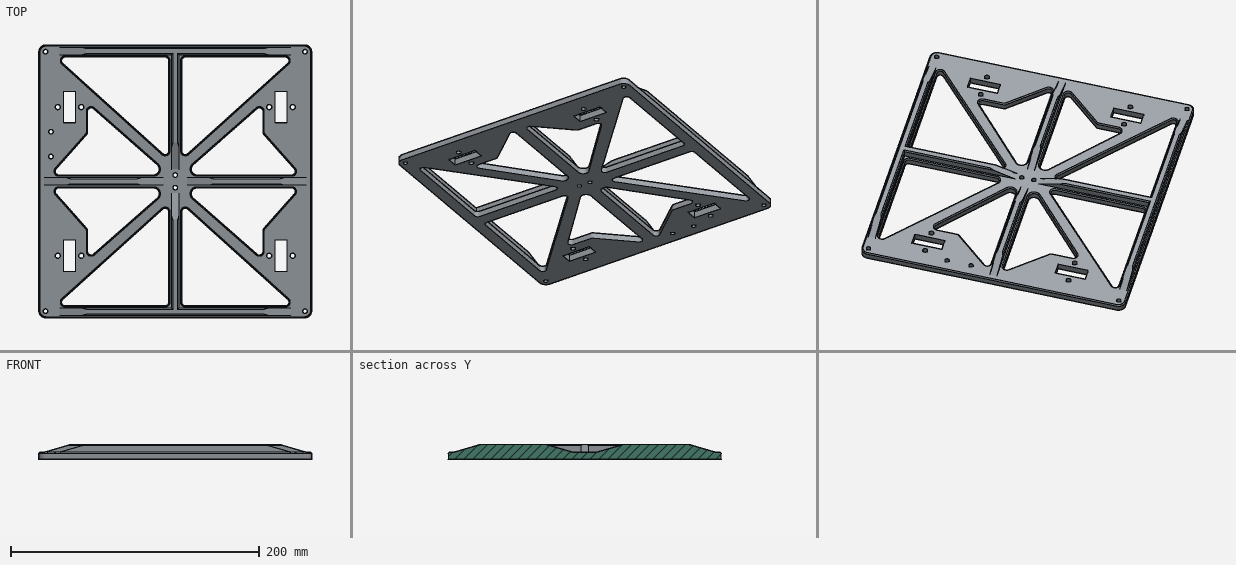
import cadquery as cq

side = 220.0
total_height = 12.0
plate_thickness = 6.0
corner_radius = 6.0
edge_chamfer = 1.0

rib_width = 6.0
ramp_length = 21.3
edge_rib_offset = 105.0
edge_rib_end = 92.8
spoke_inner_end = 9.7
side_spoke_outer_end = 105.4

window_margin = 5.3
outer_window_top = 100.0
outer_window_far_x = 96.1
outer_window_near_y = 18.0
window_radius = 2.9
inner_window_side_x = 70.6
inner_window_peak_y = 62.7
inner_window_knee_y = 38.5
inner_window_tip_x = 100.0
inner_window_near_radius = 4.6

slot_width = 9.5
slot_length = 25.0
slot_x = 85.1
slot_y = 59.8
slot_hole_spacing = 19.0
slot_hole_diameter = 4.0

small_hole_diameter = 3.5
corner_hole_offset = 104.5
center_hole_y = 5.0
cable_hole_x = -100.0
cable_hole_ys = (40.0, 20.0)

quadrants = [(sx, sy) for sx in (1, -1) for sy in (1, -1)]


def mirrored(points, signs):
    """Move outline points from the positive quadrant into another quadrant."""
    return [(signs[0] * x, signs[1] * y) for x, y in points]


def window(points, signs, first_radius):
    """Through-cutter for one window; the first corner has its own rounding radius."""
    corners = mirrored(points, signs)
    cutter = cq.Workplane("XY").polyline(corners).close().extrude(plate_thickness)
    for index, (x, y) in enumerate(corners):
        radius = first_radius if index == 0 else window_radius
        corner_edge = cq.selectors.NearestToPointSelector((x, y, plate_thickness / 2))
        cutter = cutter.edges("|Z").edges(corner_edge).fillet(radius)
    return cutter


def rib(start, end, ramp_at_start, ramp_at_end):
    """Rib along X from start to end, with chamfered top edges and optional ramped ends."""
    height = total_height - plate_thickness
    bar = (
        cq.Workplane("XY", origin=((start + end) / 2, 0, plate_thickness))
        .box(end - start, rib_width, height, centered=(True, True, False))
        .edges(">Z and |X")
        .chamfer(edge_chamfer)
    )
    crest_start = start + ramp_length if ramp_at_start else start
    crest_end = end - ramp_length if ramp_at_end else end
    profile = [
        (start, plate_thickness),
        (crest_start, total_height),
        (crest_end, total_height),
        (end, plate_thickness),
    ]
    side_shape = cq.Workplane("XZ").polyline(profile).close().extrude(rib_width, both=True)
    return bar.intersect(side_shape)


def holes(points, diameter):
    """Through-cutters for round holes."""
    return cq.Workplane("XY").pushPoints(points).circle(diameter / 2).extrude(plate_thickness)


def turned(shape, angle):
    """Turn a shape about the Z axis."""
    return shape.rotate((0, 0, 0), (0, 0, 1), angle)


plate = (
    cq.Workplane("XY")
    .box(side, side, plate_thickness, centered=(True, True, False))
    .edges("|Z")
    .fillet(corner_radius)
)
outer_window = [
    (window_margin, outer_window_top),
    (outer_window_far_x, outer_window_top),
    (window_margin, outer_window_near_y),
]
inner_window = [
    (window_margin, window_margin),
    (inner_window_side_x, inner_window_peak_y),
    (inner_window_side_x, inner_window_knee_y),
    (inner_window_tip_x, window_margin),
]
for signs in quadrants:
    plate = plate.cut(window(outer_window, signs, window_radius))
    plate = plate.cut(window(inner_window, signs, inner_window_near_radius))
plate = plate.faces(">Z").edges().chamfer(edge_chamfer)

slot_points = [(sx * slot_x, sy * slot_y) for sx, sy in quadrants]
slot_hole_points = [
    (x + shift, y) for x, y in slot_points for shift in (-slot_hole_spacing / 2, slot_hole_spacing / 2)
]
small_hole_points = [(sx * corner_hole_offset, sy * corner_hole_offset) for sx, sy in quadrants]
small_hole_points += [(0, center_hole_y), (0, -center_hole_y)]
small_hole_points += [(cable_hole_x, y) for y in cable_hole_ys]
slots = cq.Workplane("XY").pushPoints(slot_points).rect(slot_width, slot_length).extrude(plate_thickness)
plate = plate.cut(slots)
plate = plate.cut(holes(slot_hole_points, slot_hole_diameter))
plate = plate.cut(holes(small_hole_points, small_hole_diameter))

edge_rib = rib(-edge_rib_end, edge_rib_end, True, True).translate((0, edge_rib_offset, 0))
side_spoke = rib(spoke_inner_end, side_spoke_outer_end, True, True)
edge_spoke = rib(spoke_inner_end, edge_rib_offset, True, False)
result = plate
for angle in (0, 180):
    result = result.union(turned(edge_rib, angle))
    result = result.union(turned(side_spoke, angle))
    result = result.union(turned(edge_spoke, angle + 90))